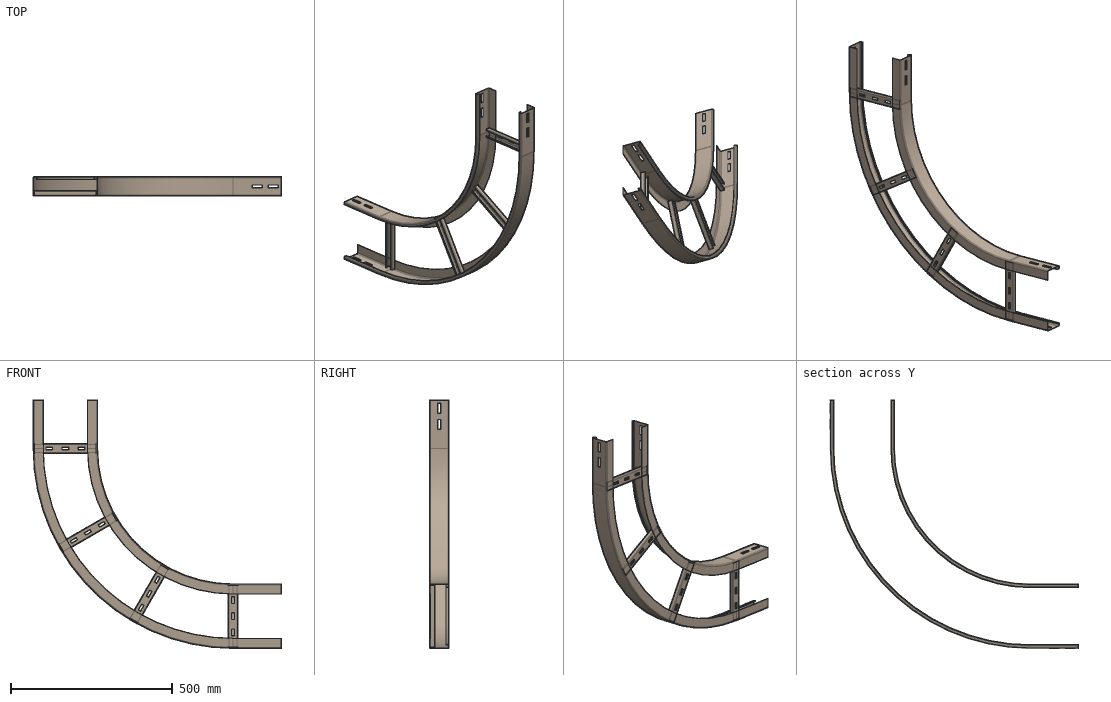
import cadquery as cq


outer_radius = 620.0
tray_width = 200.0
inner_radius = outer_radius - tray_width
bend_angle = 90.0
straight_length = 150.0

sheet = 1.5

bend_outside = 3.5
bend_inside = bend_outside - sheet
rail_depth = 60.0
front_flange = 31.5
back_flange = 11.5
lip_depth = 9.0

joint_slot_count = 2
joint_slot_length = 30.0
joint_slot_height = 8.0
joint_slot_pitch = 50.0
joint_slot_end_distance = 25.0

rung_count = 4
rung_width = 30.0
rung_depth = 15.0
rung_bend_outside = 2.0
rung_lip = 6.0
rung_end_gap = 5.0
rung_length = tray_width - 2 * rung_end_gap
rung_slot_length = 20.0
rung_slot_height = 7.0
rung_slot_pitch = 50.0
rung_slot_count = 3


def rail_section(web_radius, inward):
    """Folded section at the -X end of the bend; inward is the X sense from web to flanges."""

    def at(distance, y):
        return (-web_radius + inward * distance, y)

    outline = [
        at(0, 0),
        at(front_flange, 0),
        at(front_flange, sheet),
        at(sheet, sheet),
        at(sheet, rail_depth - sheet),
        at(back_flange - sheet, rail_depth - sheet),
        at(back_flange - sheet, rail_depth - lip_depth),
        at(back_flange, rail_depth - lip_depth),
        at(back_flange, rail_depth),
        at(0, rail_depth),
        at(0, 0),
    ]
    outside_corners = [at(0, 0), at(0, rail_depth), at(back_flange, rail_depth)]
    inside_corners = [
        at(sheet, sheet),
        at(sheet, rail_depth - sheet),
        at(back_flange - sheet, rail_depth - sheet),
    ]
    section = cq.Sketch().polygon(outline)
    for corners, radius in ((outside_corners, bend_outside), (inside_corners, bend_inside)):
        for x, y in corners:
            near = cq.NearestToPointSelector((x, y, 0))
            section = section.reset().vertices(near).fillet(radius)
    return section.reset()


def straight_run(section, web_radius, direction):
    """Straight run along Z from the end of the bend; direction is +1 or -1."""
    run = cq.Workplane("XY").placeSketch(section).extrude(direction * straight_length)
    for slot in range(joint_slot_count):
        from_end = joint_slot_end_distance + slot * joint_slot_pitch
        cutter = cq.Workplane("XY").box(4 * sheet, joint_slot_height, joint_slot_length)
        centre_z = direction * (straight_length - from_end)
        run = run.cut(cutter.translate((-web_radius, rail_depth / 2, centre_z)))
    return run


def turn(body, angle):
    """Turn a body about the bend axis, from the -X end towards the -Z end."""
    return body.rotate((0, 0, 0), (0, 1, 0), -angle)


def rail(web_radius, inward):
    """Bent channel with a straight run at each end of the curve."""
    section = rail_section(web_radius, inward)
    curve = cq.Workplane("XY").placeSketch(section).revolve(bend_angle, (0, 0), (0, -1))
    upper_run = straight_run(section, web_radius, 1)
    lower_run = turn(straight_run(section, web_radius, -1), bend_angle)
    return curve.union(upper_run, clean=False).union(lower_run, clean=False)


def rung():
    """Lipped channel at the -X end of the bend, open to the back, seated on the front flanges."""
    outside = cq.Workplane("XY").box(rung_length, rung_depth, rung_width)
    outside = outside.edges("|X").fillet(rung_bend_outside)
    inside = cq.Workplane("XY").box(rung_length, rung_depth - 2 * sheet, rung_width - 2 * sheet)
    inside = inside.edges("|X").fillet(rung_bend_outside - sheet)
    opening = cq.Workplane("XY").box(rung_length, rung_depth, rung_width - 2 * rung_lip)
    channel = outside.cut(inside).cut(opening.translate((0, rung_depth / 2, 0)))
    slots = (
        cq.Workplane("XY")
        .rarray(rung_slot_pitch, 1, rung_slot_count, 1)
        .box(rung_slot_length, 2 * rung_depth, rung_slot_height)
    )
    middle_radius = (outer_radius + inner_radius) / 2
    return channel.cut(slots).translate((-middle_radius, sheet + rung_depth / 2, 0))


outer_rail = rail(outer_radius, 1)
inner_rail = rail(inner_radius, -1)
rung_step = bend_angle / (rung_count - 1)
rungs = [turn(rung(), index * rung_step) for index in range(rung_count)]

result = cq.Compound.makeCompound(
    [outer_rail.val(), inner_rail.val()] + [body.val() for body in rungs]
)